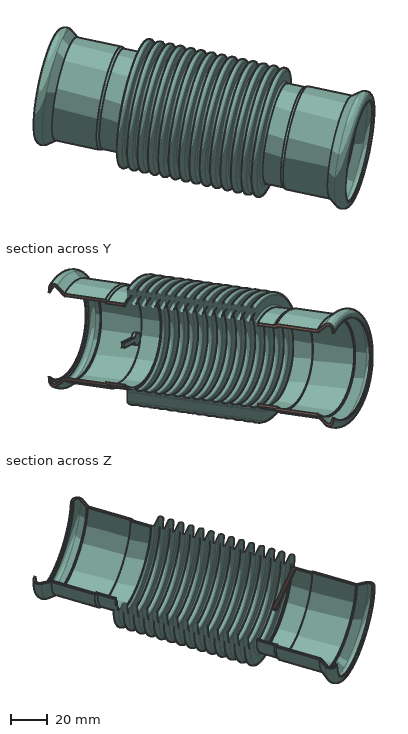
import cadquery as cq
import math

overall_length = 176.0
half_length = overall_length / 2
neck_diameter = 56.0
neck_radius = neck_diameter / 2

crest_diameter = 72.0
bellows_sheet = 0.2
crest_count = 14
bellows_length = 82.0
half_bellows = bellows_length / 2
pitch = bellows_length / crest_count
wave_radius = pitch / 4
crest_center_radius = crest_diameter / 2 - wave_radius - bellows_sheet / 2
root_center_radius = neck_radius + wave_radius - bellows_sheet / 2

wall = 1.5
socket_radius = 57.5 / 2
socket_bore_radius = 54.4 / 2
relief_radius = 55.0 / 2
neck_bore_radius = 53.0 / 2
neck_x = -51.2
shoulder_length = 1.5
socket_end_x = neck_x - shoulder_length
flare_x = -77.8
bead_radius = 3.5
bead_inner_radius = bead_radius - wall
bead_outer_diameter = 65.6
lip_radius = 56.2 / 2
lip_thickness = 1.0
bead_center_x = -half_length + bead_radius
bead_center_radius = bead_outer_diameter / 2 - bead_radius

hub_diameter = 7.0
arm_width = 2.9
key_thickness = 2.0
key_x = half_bellows
arm_embed = (neck_radius - neck_bore_radius) / 2


def polar(center, radius, angle):
    """Point on a circle, with the angle measured from +X."""
    return (center[0] + radius * math.cos(angle), center[1] + radius * math.sin(angle))


def arc(path, center, radius, start, end):
    """Continue a path along an arc from the start angle to the end angle."""
    middle = (start + end) / 2
    return path.threePointArc(polar(center, radius, middle), polar(center, radius, end))


def revolve_about_x(profile):
    return profile.close().revolve(360, (0, 0, 0), (1, 0, 0))


def wave(path, offset, direction):
    """Continue a path along all crests, offset outward from mid-sheet, toward +X or -X."""
    crest_arc = wave_radius + offset
    root_arc = wave_radius - offset
    forward = 0 if direction > 0 else math.pi
    backward = math.pi - forward
    for index in range(crest_count):
        crest_x = direction * ((index + 0.5) * pitch - half_bellows)
        root_before = (crest_x - direction * pitch / 2, root_center_radius)
        root_after = (crest_x + direction * pitch / 2, root_center_radius)
        crest = (crest_x, crest_center_radius)
        path = arc(path, root_before, root_arc, -math.pi / 2, -forward)
        path = path.lineTo(*polar(crest, crest_arc, backward))
        path = arc(path, crest, crest_arc, backward, forward)
        path = path.lineTo(*polar(root_after, root_arc, -backward))
        path = arc(path, root_after, root_arc, -backward, -math.pi / 2)
    return path


def make_bellows():
    """Corrugated sheet of constant thickness, from root to root."""
    outside = cq.Workplane("XY").moveTo(-half_bellows, neck_radius)
    outside = wave(outside, bellows_sheet / 2, 1)
    inside = outside.lineTo(half_bellows, neck_radius - bellows_sheet)
    return revolve_about_x(wave(inside, -bellows_sheet / 2, -1))


def make_socket():
    """Socket on the -X side: neck, socket, flare and a hollow rolled bead around the mouth."""
    bead = (bead_center_x, bead_center_radius)
    flare_dx = flare_x - bead_center_x
    flare_dr = socket_radius - bead_center_radius
    flare_distance = math.hypot(flare_dx, flare_dr)
    normal = math.atan2(flare_dr, flare_dx) + math.acos(bead_radius / flare_distance)
    inner_tangent = polar(bead, bead_inner_radius, normal)
    flare_inner_x = inner_tangent[0] + (inner_tangent[1] - relief_radius) * math.tan(normal)

    profile = cq.Workplane("XY").moveTo(-half_length, lip_radius)
    profile = profile.lineTo(-half_length, bead_center_radius)
    profile = arc(profile, bead, bead_radius, math.pi, normal)
    profile = profile.lineTo(flare_x, socket_radius)
    profile = profile.lineTo(socket_end_x, socket_radius)
    profile = profile.lineTo(neck_x, neck_radius)
    profile = profile.lineTo(-half_bellows, neck_radius)
    profile = profile.lineTo(-half_bellows, neck_bore_radius)
    profile = profile.lineTo(socket_end_x, neck_bore_radius)
    profile = profile.lineTo(socket_end_x, socket_bore_radius)
    profile = profile.lineTo(flare_x, socket_bore_radius)
    profile = profile.lineTo(flare_x, relief_radius)
    profile = profile.lineTo(flare_inner_x, relief_radius)
    profile = profile.lineTo(*inner_tangent)
    profile = arc(profile, bead, bead_inner_radius, normal, math.pi)
    lip_inner_x = -half_length + lip_thickness
    profile = profile.lineTo(lip_inner_x, lip_radius)
    return revolve_about_x(profile)


def make_key():
    """Flat hub on the axis with an arm running toward +Y into the neck wall."""
    arm_length = neck_bore_radius + arm_embed
    plane = cq.Workplane("YZ", origin=(key_x, 0, 0))
    hub = plane.circle(hub_diameter / 2).extrude(key_thickness)
    arm = plane.center(arm_length / 2, 0).rect(arm_length, arm_width).extrude(key_thickness)
    return hub.union(arm)


bellows = make_bellows()
plain_socket = make_socket()
keyed_socket = make_socket().mirror("YZ").union(make_key())

result = cq.Compound.makeCompound([plain_socket.val(), bellows.val(), keyed_socket.val()])